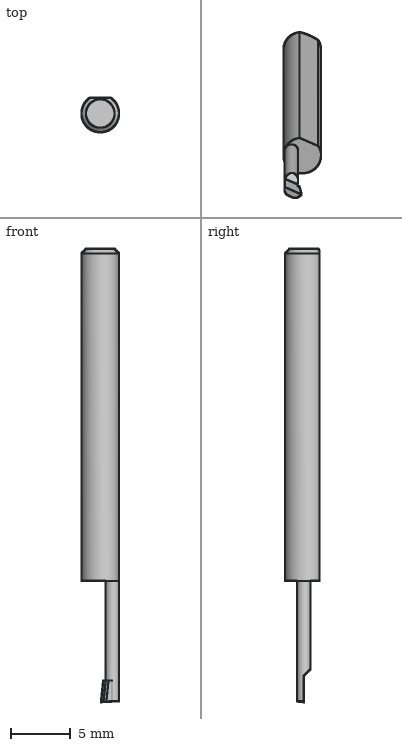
import cadquery as cq
import math

total_length = 38.1
shank_diameter = 3.175
shank_depth_across_flat = 2.92
neck_length = 10.2
neck_diameter = 1.16
shank_chamfer = 0.39

cutting_face_length = 2.22
ramp_angle = 45.0

head_height = 1.85
tip_x = 0.05
side_edge_taper = 0.19
primary_relief_width = 0.22
primary_relief_depth = 0.43
primary_relief_bulge = 0.015
heel_width = 0.46
end_relief_angle = 5.0
end_dish_angle = 3.0

shank_radius = shank_diameter / 2
shank_length = total_length - neck_length
neck_radius = neck_diameter / 2
neck_x = shank_radius - neck_radius
flat_y = shank_depth_across_flat - shank_radius


def make_shank():
    """Round shank, chamfered at the top, with one flat along the +Y side."""
    shank = cq.Workplane("XY").workplane(offset=neck_length).circle(shank_radius).extrude(shank_length)
    shank = shank.faces(">Z").chamfer(shank_chamfer)
    flat_cutter = cq.Workplane("XY").box(
        shank_diameter, shank_diameter, total_length, centered=(True, False, False)
    )
    return shank.cut(flat_cutter.translate((0, flat_y, 0)))


def make_neck():
    """Slender neck, flush with the +X side of the shank and halved near the tip."""
    neck = cq.Workplane("XY").center(neck_x, 0).circle(neck_radius).extrude(neck_length)
    ramp_run = neck_diameter
    ramp_top = cutting_face_length + ramp_run * math.tan(math.radians(ramp_angle))
    half_cutter = (
        cq.Workplane("YZ")
        .polyline([(0, 0), (0, cutting_face_length), (ramp_run, ramp_top), (ramp_run, 0)])
        .close()
        .extrude(shank_diameter)
    )
    return neck.cut(half_cutter)


def head_section(workplane, edge_x):
    """Closed plan of the head whose cutting edge stands at (edge_x, 0)."""
    relief_corner = (edge_x + primary_relief_width, -primary_relief_depth)
    heel = (edge_x + heel_width, -neck_radius)
    chord = math.hypot(primary_relief_width, primary_relief_depth)
    bulge_point = (
        edge_x + primary_relief_width / 2 - primary_relief_bulge * primary_relief_depth / chord,
        -primary_relief_depth / 2 - primary_relief_bulge * primary_relief_width / chord,
    )
    return (
        workplane.moveTo(edge_x, 0)
        .threePointArc(bulge_point, relief_corner)
        .lineTo(*heel)
        .lineTo(neck_x, -neck_radius)
        .lineTo(neck_x, 0)
        .close()
    )


def make_head():
    """Cutting head whose side edge leans back towards the neck above the tip."""
    lower = head_section(cq.Workplane("XY"), tip_x)
    both = head_section(lower.workplane(offset=head_height), tip_x + side_edge_taper)
    return both.loft(ruled=True)


def make_end_clearance():
    """Block under the tip, tilted so the end face rises towards -Y and +X."""
    size = 2 * shank_diameter
    block = cq.Workplane("XY").box(size, size, size, centered=(True, True, False)).translate((0, 0, -size))
    block = block.rotate((0, 0, 0), (1, 0, 0), -end_relief_angle)
    block = block.rotate((0, 0, 0), (0, 1, 0), -end_dish_angle)
    return block.translate((tip_x, 0, 0))


bar = make_neck().union(make_head()).cut(make_end_clearance())
result = make_shank().union(bar)